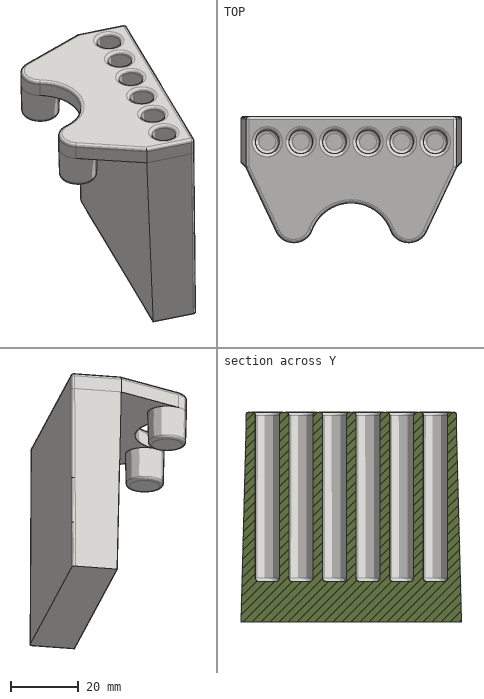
import cadquery as cq
import math

base_width = 65.25
total_height = 62.0
total_depth = 37.3
plate_thickness = 5.0
draft = math.radians(1.5)
shoulder_depth = 15.0
edge_radius = 1.0

pin_radius = 5.75
pin_length = 10.0
pin_spacing = 33.95
notch_apex_depth = 25.6

hole_count = 6
hole_pitch = 9.9
hole_setback = 7.5
hole_radius = 7.0 / 2
hole_depth = 50.0
hole_rim_radius = 1.0
hole_bottom_radius = 1.0

body_height = total_height - plate_thickness
taper = body_height * math.tan(draft)
plate_half_width = base_width / 2 - taper
base_depth = shoulder_depth - taper
pin_x = pin_spacing / 2
pin_y = pin_radius - total_depth


def body_section(half_width, depth, z):
    """Closed rectangle that runs forward from the back face."""
    corners = [
        (-half_width, 0),
        (half_width, 0),
        (half_width, -depth),
        (-half_width, -depth),
    ]
    return cq.Wire.makePolygon([cq.Vector(x, y, z) for x, y in corners], close=True)


def tapered_body():
    """Upright block, drafted on its sides and front."""
    base = body_section(base_width / 2, base_depth, 0)
    top = body_section(plate_half_width, shoulder_depth, body_height)
    return cq.Workplane(cq.Solid.makeLoft([base, top], True))


def top_plate():
    """Overhanging plate with two rounded arms and an arc notch between them."""
    apex_gap = -notch_apex_depth - pin_y
    notch_radius = (pin_x**2 + apex_gap**2 - pin_radius**2) / (2 * (pin_radius + apex_gap))
    notch_y = -notch_apex_depth - notch_radius
    blend = pin_radius / (pin_radius + notch_radius)
    blend_x = pin_x * (1 - blend)
    blend_y = pin_y + (notch_y - pin_y) * blend

    corner_dx = plate_half_width - pin_x
    corner_dy = -shoulder_depth - pin_y
    corner_distance = math.hypot(corner_dx, corner_dy)
    tangent_angle = math.atan2(corner_dy, corner_dx) - math.acos(pin_radius / corner_distance)
    tangent_x = pin_x + pin_radius * math.cos(tangent_angle)
    tangent_y = pin_y + pin_radius * math.sin(tangent_angle)

    return (
        cq.Workplane("XY", origin=(0, 0, body_height))
        .moveTo(-plate_half_width, 0)
        .lineTo(plate_half_width, 0)
        .lineTo(plate_half_width, -shoulder_depth)
        .lineTo(tangent_x, tangent_y)
        .threePointArc((pin_x, -total_depth), (blend_x, blend_y))
        .threePointArc((0, -notch_apex_depth), (-blend_x, blend_y))
        .threePointArc((-pin_x, -total_depth), (-tangent_x, tangent_y))
        .lineTo(-plate_half_width, -shoulder_depth)
        .close()
        .extrude(plate_thickness)
    )


def pin(x):
    """Drafted pin hanging under one arm, rounded at its free end."""
    tip_radius = pin_radius - pin_length * math.tan(draft)
    cone = cq.Solid.makeCone(
        tip_radius,
        pin_radius,
        pin_length,
        pnt=cq.Vector(x, pin_y, body_height - pin_length),
    )
    return cq.Workplane(cone).faces("<Z").edges().fillet(edge_radius)


def hole(x):
    """Blind hole cutter with a rounded floor and a flared rim."""
    shaft = (
        cq.Workplane("XY", origin=(x, -hole_setback, total_height - hole_depth))
        .circle(hole_radius)
        .extrude(hole_depth)
        .faces("<Z")
        .edges()
        .fillet(hole_bottom_radius)
    )
    flare = (
        cq.Workplane("XZ")
        .moveTo(0, total_height)
        .lineTo(hole_radius + hole_rim_radius, total_height)
        .radiusArc((hole_radius, total_height - hole_rim_radius), -hole_rim_radius)
        .lineTo(0, total_height - hole_rim_radius)
        .close()
        .revolve(360, (0, 0, 0), (0, 1, 0))
        .translate((x, -hole_setback, 0))
    )
    return shaft.union(flare)


result = tapered_body().union(top_plate())
back_corners = result.edges(cq.selectors.BoxSelector(
    (-base_width, -edge_radius / 2, edge_radius),
    (base_width, edge_radius / 2, total_height - edge_radius),
))
result = back_corners.fillet(edge_radius)
result = result.faces(">Z").edges().fillet(edge_radius)

for side in (-1, 1):
    result = result.union(pin(side * pin_x))

first_hole_x = -hole_pitch * (hole_count - 1) / 2
for index in range(hole_count):
    result = result.cut(hole(first_hole_x + index * hole_pitch))